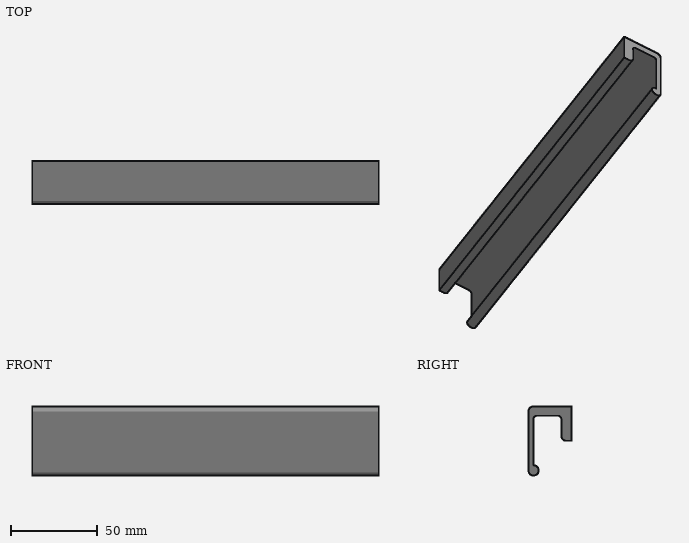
import cadquery as cq

length = 200.0
depth = 25.0
height = 40.0

web_thickness = 5.5
wall_thickness = 3.0
lip_thickness = 6.0
lip_height = 20.0

outer_corner_radius = 3.0
inner_corner_radius = 2.0
lip_corner_radius = 3.0
bead_radius = 3.0

wall_inner_y = wall_thickness
lip_inner_y = depth - lip_thickness
web_underside_z = height - web_thickness
lip_bottom_z = height - lip_height
bead_center_z = bead_radius


def extrude_outline(points):
    """Extrude a closed outline of (y, z) points along the full length in X."""
    return cq.Workplane("YZ").polyline(points).close().extrude(length)


def round_edge(body, y, z, radius):
    """Round the lengthwise edge that passes through (y, z)."""
    edge = cq.selectors.NearestToPointSelector((length / 2, y, z))
    return body.edges("|X").edges(edge).fillet(radius)


def make_channel():
    """Hooked channel: tall thin wall, top web and short thick lip."""
    body = extrude_outline([
        (0, bead_center_z),
        (0, height),
        (depth, height),
        (depth, lip_bottom_z),
        (lip_inner_y, lip_bottom_z),
        (lip_inner_y, web_underside_z),
        (wall_inner_y, web_underside_z),
        (wall_inner_y, bead_center_z),
    ])
    body = round_edge(body, 0, height, outer_corner_radius)
    body = round_edge(body, wall_inner_y, web_underside_z, inner_corner_radius)
    body = round_edge(body, lip_inner_y, web_underside_z, inner_corner_radius)
    return round_edge(body, lip_inner_y, lip_bottom_z, lip_corner_radius)


def make_bead():
    """Round bead along the free edge of the wall, tangent to its outer face."""
    return cq.Workplane("YZ").center(bead_radius, bead_center_z).circle(bead_radius).extrude(length)


result = make_channel().union(make_bead())